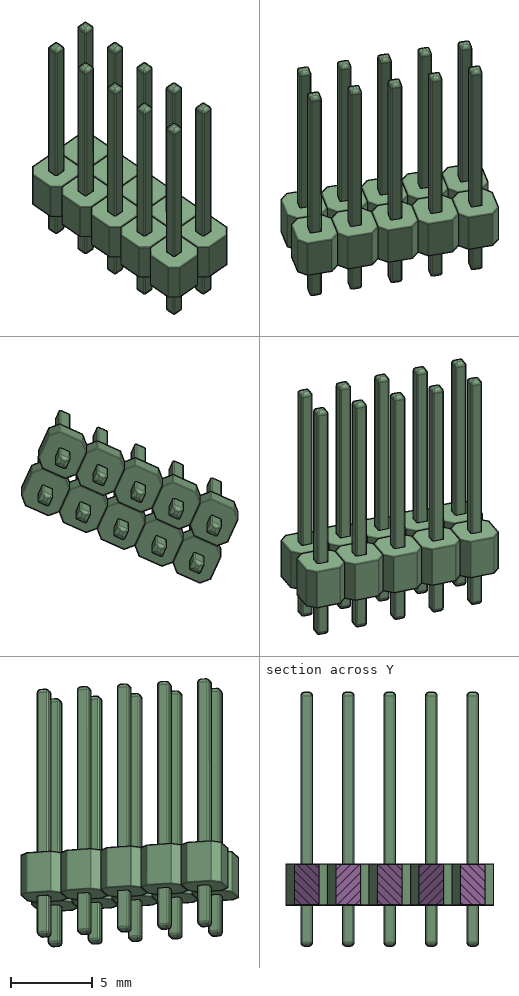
import cadquery as cq

pitch = 2.54
columns = 5
rows = 2

block_height = 2.54
block_corner = 0.5
block_edge_radius = 0.05

pin_width = 0.72
pin_edge_radius = 0.1
pin_tip_radius = 0.25
pin_above_block = 10.5
pin_below_block = 2.5
pin_length = pin_below_block + block_height + pin_above_block


def make_block():
    """Octagonal insulator block standing on the XY plane."""
    block = cq.Workplane("XY").box(pitch, pitch, block_height, centered=(True, True, False))
    block = block.edges("|Z").chamfer(block_corner)
    return block.edges().fillet(block_edge_radius)


def make_pin():
    """Square pin running through the block, rounded at both ends."""
    pin = cq.Workplane("XY").workplane(offset=-pin_below_block)
    pin = pin.box(pin_width, pin_width, pin_length, centered=(True, True, False))
    pin = pin.faces("<Z or >Z").edges().fillet(pin_tip_radius)
    return pin.edges("|Z").fillet(pin_edge_radius)


def make_header_unit(x, y):
    """One header position: a block and its pin in a single solid."""
    return make_block().union(make_pin()).translate((x, y, 0))


header_units = []
for row in range(rows):
    for column in range(columns):
        unit_x = (column - (columns - 1) / 2) * pitch
        unit_y = (row - (rows - 1) / 2) * pitch
        header_units.append(make_header_unit(unit_x, unit_y).val())

result = cq.Compound.makeCompound(header_units)